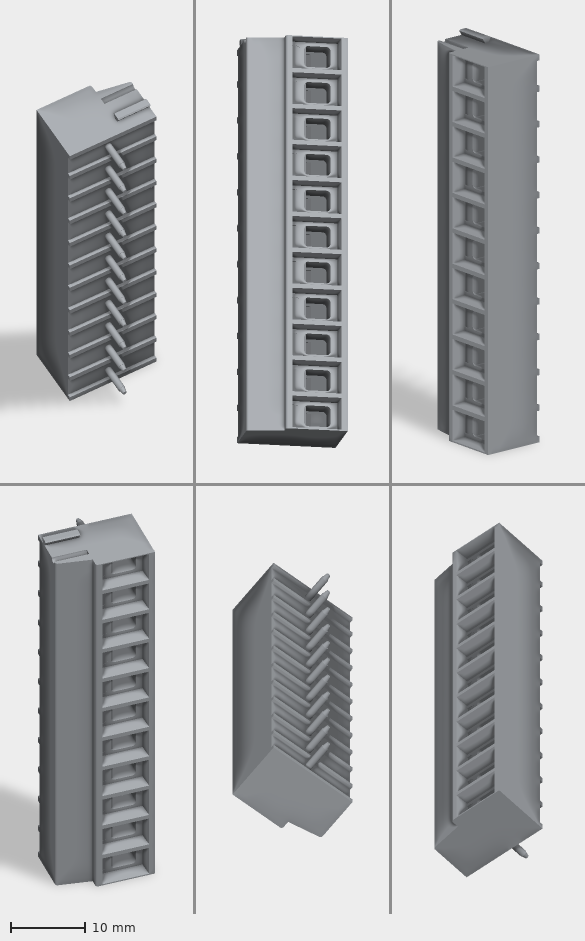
import cadquery as cq

pole_count = 11
pitch = 5.0
first_pole_z = 2.4
overall_height = 55.7
housing_height = 54.85
thickness = 9.0
width = 13.5

rear_depth = 5.0
step_y = width - rear_depth
step_x = 1.35
slope_end_x = 2.15
edge_radius = 0.35

foot_height = 0.5
foot_width = 0.85

rib_center_x = 6.8
rib_height = overall_height - housing_height
rib_top_width = 1.35
rib_base_width = 0.55
rib_bevel = 0.15
groove_center_x = 3.2
groove_radius = 0.5

pin_radius = 0.5
pin_y = 6.25
pin_shoulder_x = 12.3
pin_tip_x = 13.1
tip_start_radius = 0.45
tip_end_radius = 0.3
pin_embed = 0.55

pocket_y_min = 0.85
pocket_y_max = 7.6
pocket_height = 4.4
pocket_depth = 1.95
draft_depth = 1.6
draft_inset = 0.2
floor_y_max = pocket_y_max - draft_inset

hole_y_min = 2.0
hole_y_max = 5.6
hole_height = 2.9
hole_corner = 0.55
hole_depth = 3.0
hole_bottom_x = pocket_depth + hole_depth
hole_chamfer = 0.35
notch_y_min = 4.1
notch_y_max = hole_y_max - hole_chamfer
notch_height = 2.15
notch_depth = 0.45

guide_y_min = 5.95
guide_bend_y = 6.75
guide_bend_depth = 0.05
guide_end_depth = 0.2
guide_narrow_height = notch_height


def box(x_range, y_range, z_range):
    """Axis-aligned box between the given limits."""
    size = [high - low for low, high in (x_range, y_range, z_range)]
    corner = (x_range[0], y_range[0], z_range[0])
    return cq.Workplane("XY").box(*size, centered=False).translate(corner)


def rectangle_at(x, y_range, height):
    """Rectangle facing X, centred on Z = 0."""
    y_center = (y_range[0] + y_range[1]) / 2
    return (
        cq.Workplane("YZ", origin=(x, y_center, 0))
        .rect(y_range[1] - y_range[0], height)
    )


def make_housing():
    body = (
        cq.Workplane("XY")
        .moveTo(0, 0)
        .lineTo(thickness, 0)
        .lineTo(thickness, width)
        .lineTo(slope_end_x, width)
        .lineTo(step_x, step_y)
        .lineTo(0, step_y)
        .close()
        .extrude(housing_height)
    )
    for corner in ((0, step_y), (slope_end_x, width)):
        body = body.edges(cq.NearestToPointSelector((*corner, housing_height / 2))).fillet(edge_radius)
    return body


def make_foot_reliefs():
    """Cuts between the feet; the first and last foot are flush with the ends."""
    centers = [first_pole_z + (index - 0.5) * pitch for index in range(pole_count + 1)]
    centers[0] = foot_width / 2
    centers[-1] = housing_height - foot_width / 2
    reliefs = cq.Workplane("XY")
    for lower, upper in zip(centers, centers[1:]):
        z_range = (lower + foot_width / 2, upper - foot_width / 2)
        reliefs = reliefs.add(box((thickness - foot_height, thickness), (0, width), z_range))
    return reliefs.combine()


def make_rib():
    """Dovetail rib with bevelled upper edges along the rear of the top end."""
    half_top = rib_top_width / 2
    half_base = rib_base_width / 2
    return (
        cq.Workplane("XZ", origin=(rib_center_x, width, housing_height))
        .moveTo(-half_base, 0)
        .lineTo(half_base, 0)
        .lineTo(half_top, rib_height - rib_bevel)
        .lineTo(half_top - rib_bevel, rib_height)
        .lineTo(rib_bevel - half_top, rib_height)
        .lineTo(-half_top, rib_height - rib_bevel)
        .close()
        .extrude(rear_depth)
    )


def make_groove():
    """Half-round groove beside the rib, of the same length."""
    return (
        cq.Workplane("XZ", origin=(groove_center_x, width, housing_height))
        .circle(groove_radius)
        .extrude(rear_depth)
    )


def make_pin():
    """Stepped pin with a tapered tip, on the plane Z = 0."""
    root_x = thickness - foot_height - pin_embed
    return (
        cq.Workplane("XY")
        .moveTo(root_x, 0)
        .lineTo(root_x, pin_radius)
        .lineTo(pin_shoulder_x, pin_radius)
        .lineTo(pin_shoulder_x, tip_start_radius)
        .lineTo(pin_tip_x, tip_end_radius)
        .lineTo(pin_tip_x, 0)
        .close()
        .revolve(360, (0, 0, 0), (1, 0, 0))
        .translate((0, pin_y, 0))
    )


def make_pocket():
    """Rectangular pocket centred on Z = 0."""
    y_outer = (pocket_y_min, pocket_y_max)
    y_inner = (pocket_y_min + draft_inset, floor_y_max)
    inner_height = pocket_height - 2 * draft_inset
    mouth = rectangle_at(0, y_outer, pocket_height).val()
    throat = rectangle_at(draft_depth, y_inner, inner_height).val()
    drafted = cq.Workplane(cq.Solid.makeLoft([mouth, throat], True))
    straight = rectangle_at(draft_depth, y_inner, inner_height).extrude(pocket_depth - draft_depth)
    return drafted.union(straight)


def make_wire_hole():
    """Rounded hole with a chamfered rear edge and a notch that deepens toward the rear."""
    outline = (
        rectangle_at(pocket_depth, (hole_y_min, hole_y_max), hole_height)
        .extrude(hole_depth + notch_depth)
        .edges("|X")
        .fillet(hole_corner)
    )
    profile = (
        cq.Workplane("XY", origin=(0, 0, -hole_height / 2))
        .moveTo(pocket_depth, hole_y_min)
        .lineTo(hole_bottom_x, hole_y_min)
        .lineTo(hole_bottom_x, notch_y_max)
        .lineTo(pocket_depth + hole_chamfer, notch_y_max)
        .lineTo(pocket_depth, hole_y_max)
        .close()
        .extrude(hole_height)
    )
    notch = (
        cq.Workplane("XY", origin=(0, 0, -notch_height / 2))
        .moveTo(hole_bottom_x, notch_y_min)
        .lineTo(hole_bottom_x + notch_depth, notch_y_max)
        .lineTo(hole_bottom_x, notch_y_max)
        .close()
        .extrude(notch_height)
    )
    return outline.intersect(profile).union(notch)


def make_guide():
    """Wedge that deepens gently, then steeply toward the rear wall and narrows toward the wire hole."""
    wedge = (
        cq.Workplane("XY", origin=(0, 0, -hole_height / 2))
        .moveTo(pocket_depth, floor_y_max)
        .lineTo(pocket_depth, guide_y_min)
        .threePointArc(
            (pocket_depth + guide_bend_depth / 4, (guide_y_min + guide_bend_y) / 2),
            (pocket_depth + guide_bend_depth, guide_bend_y),
        )
        .lineTo(pocket_depth + guide_end_depth, floor_y_max)
        .close()
        .extrude(hole_height)
    )
    outline = (
        cq.Workplane("YZ")
        .moveTo(guide_y_min, -guide_narrow_height / 2)
        .lineTo(guide_bend_y, -hole_height / 2)
        .lineTo(floor_y_max, -hole_height / 2)
        .lineTo(floor_y_max, hole_height / 2)
        .lineTo(guide_bend_y, hole_height / 2)
        .lineTo(guide_y_min, guide_narrow_height / 2)
        .close()
        .extrude(thickness)
    )
    return wedge.intersect(outline)


def along_row(shape):
    """Copies of a shape at the middle height of every pole."""
    copies = cq.Workplane("XY")
    for index in range(pole_count):
        copies = copies.add(shape.translate((0, 0, first_pole_z + index * pitch)))
    return copies.combine()


wire_entry = make_pocket().union(make_wire_hole()).union(make_guide())

result = (
    make_housing()
    .cut(make_foot_reliefs())
    .cut(make_groove())
    .cut(along_row(wire_entry))
    .union(make_rib())
    .union(along_row(make_pin()))
)